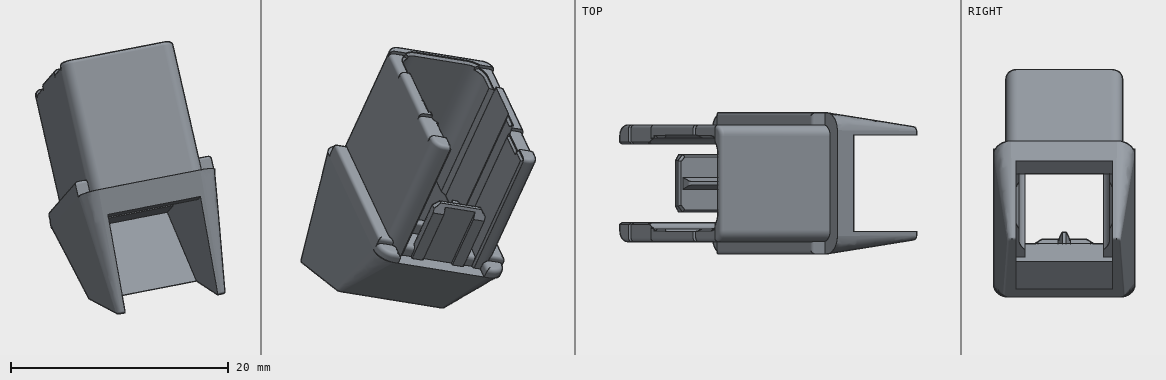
import cadquery as cq
import math

TILT = 37.2
COS = math.cos(math.radians(TILT))
SIN = math.sin(math.radians(TILT))

OVERLAP = 0.27
PICK_MARGIN = 0.03

sleeve_half_width = 5.38
sleeve_bottom = 6.75
sleeve_top = 22.43
sleeve_corner = 1.05
mouth = -5.02
rim_lip = 0.3
rim_raised_bands = ((sleeve_bottom, 8.32), (11.73, 18.15), (21.45, sleeve_top))
rim_rounding = 0.38

ceiling = 21.67
upper_half_width = 4.18
lower_half_width = 3.6
shoulder_top = 12.17
shoulder_bottom = 11.0
shoulder_bulge = 0.4
shoulder_rise = 0.5
ceiling_corner = 1.5
foot_bevel = 0.2
flare = 0.22
flare_depth = 0.33
recess_half_width = 4.45
recess_bottom = 13.43
recess_top = 18.75
recess_slope = 0.6

flange_front = 5.79
hood_start = 7.23
flange_half_width = 6.5
flange_band_top = 21.67
flange_lip_front = 6.33
flange_lip_top = 6.95
flange_notch_half_width = 4.45
flange_corner = 1.42
lip_corner_rounding = 0.4
flange_rounding = 0.33
hood_top = 23.52
hood_corner = 1.65
hood_bottom = hood_start * SIN / COS

end_heel_x = 19.05
end_tip_x = 27.37
end_tip_z = 5.35
end_heel_half_width = 5.6
end_tip_half_width = 5.19
end_corner = 0.4
end_rounding = 0.2
hood_cavity_half_width = 4.42
hood_cavity_reach = 2.73
hood_floor = 0.75
roof_bend = 7.75
roof_edge = 9.58
roof_edge_height = 21.5

tongue_front = 1.05
tongue_half_width = 2.65
tongue_bottom = 6.65
tongue_top = 7.67
tongue_nose_chamfer = 0.55
tongue_edge_chamfer = 0.22
groove_half_width = 1.53
groove_depth = 0.3
nose_bevel_length = 0.93
nose_bevel_height = 0.45
rib_front = 1.45
rib_top = 8.73
rib_base_half_width = 0.65
rib_top_half_width = 0.16
rib_nose_radius = 0.27

wall_front = 6.2
wall_back = 7.91
wall_step = 9.3
wall_top = 10.15
wall_lip = 1.12
wall_foot_radius = 0.4
lip_rounding = 0.22


def block(x0, x1, half_width, z0, z1):
    """Box centred on the XZ plane."""
    plane = cq.Workplane("XY", origin=(x0, 0, z0))
    return plane.box(x1 - x0, 2 * half_width, z1 - z0, centered=(False, True, False))


def level(x, z):
    """Point of the level frame for a point of the tilted part."""
    return (x * COS - z * SIN, x * SIN + z * COS)


def slab(points, half_width):
    """Side profile in XZ, extruded equally to both sides."""
    return cq.Workplane("XZ").polyline(points).close().extrude(half_width, both=True)


def rounded_section(low, high, low_half, high_half, radius):
    """Rounded four-sided wire spanning two (x, z) points, with its own width at each."""
    corners = [
        cq.Vector(low[0], -low_half, low[1]),
        cq.Vector(low[0], low_half, low[1]),
        cq.Vector(high[0], high_half, high[1]),
        cq.Vector(high[0], -high_half, high[1]),
    ]
    face = cq.Face.makeFromWires(cq.Wire.makePolygon(corners, close=True))
    return face.fillet2D(radius, face.Vertices()).outerWire()


def mouth_flare(front):
    """Bevels between the rim and the upper and lower parts of the cavity."""
    upper = block(front, front + flare_depth, upper_half_width + flare, shoulder_top, ceiling + flare)
    upper = upper.edges("|X and >Z").fillet(ceiling_corner + flare)
    upper = upper.faces(">X").edges().chamfer(flare)
    foot_half_width = lower_half_width + foot_bevel
    lower = block(front, front + flare_depth, foot_half_width, sleeve_bottom - OVERLAP, shoulder_bottom)
    return upper.union(lower.edges("|Z and >X").chamfer(foot_bevel))


def sleeve_blank(front):
    """Hollow sleeve with a plain rounded rim at the given x."""
    blank = block(front, hood_start, sleeve_half_width, sleeve_bottom, sleeve_top)
    blank = blank.edges("|X").fillet(sleeve_corner).faces("<X").edges().fillet(rim_rounding)
    return blank.cut(sleeve_cavity()).cut(mouth_flare(front))


def sleeve():
    """Sleeve whose rim stands out further over some height bands."""
    raised = sleeve_blank(mouth - rim_lip)
    shell = sleeve_blank(mouth)
    for z0, z1 in rim_raised_bands:
        band = block(mouth - rim_lip, hood_start, sleeve_half_width, z0, z1)
        shell = shell.union(raised.intersect(band))
    return shell


def sleeve_cavity():
    """Space inside the sleeve: half a cross-section with its side recess, mirrored."""
    x0 = mouth - rim_lip - OVERLAP
    corner_start = ceiling - ceiling_corner
    corner_inset = ceiling_corner * (1 - math.sqrt(0.5))
    half = (
        cq.Workplane("YZ", origin=(x0, 0, 0))
        .moveTo(0, sleeve_bottom - OVERLAP)
        .lineTo(lower_half_width + foot_bevel, sleeve_bottom - OVERLAP)
        .lineTo(lower_half_width + foot_bevel, sleeve_bottom)
        .lineTo(lower_half_width, sleeve_bottom + foot_bevel)
        .lineTo(lower_half_width, shoulder_bottom)
        .threePointArc(
            (lower_half_width + shoulder_bulge, shoulder_bottom + shoulder_rise),
            (upper_half_width, shoulder_top),
        )
        .lineTo(upper_half_width, corner_start)
        .threePointArc(
            (upper_half_width - corner_inset, ceiling - corner_inset),
            (upper_half_width - ceiling_corner, ceiling),
        )
        .lineTo(0, ceiling)
        .close()
        .extrude(roof_bend - x0)
    )
    recess = (
        cq.Workplane("YZ", origin=(x0, 0, 0))
        .polyline(
            [
                (0, recess_bottom),
                (upper_half_width, recess_bottom),
                (recess_half_width, recess_bottom + recess_slope),
                (recess_half_width, recess_top - recess_slope),
                (upper_half_width, recess_top),
                (0, recess_top),
            ]
        )
        .close()
        .extrude(hood_start - x0)
    )
    half = half.union(recess)
    return half.union(half.mirror("XZ"))


def flange_bands():
    """Two side bands that wrap round the bottom corners and leave the middle open."""
    bands = slab(
        [
            (flange_lip_front, hood_bottom),
            (hood_start, hood_bottom),
            (hood_start, flange_band_top),
            (flange_front, flange_band_top),
            (flange_front, flange_lip_top),
            (flange_lip_front, flange_lip_top),
        ],
        flange_half_width,
    )
    bands = bands.edges("|X and <Z").fillet(flange_corner)
    notch = block(flange_front - OVERLAP, hood_start, flange_notch_half_width, 0, hood_top)
    bands = bands.faces("<X").edges().fillet(flange_rounding).cut(notch)
    lip_corners = cq.selectors.BoxSelector(
        (flange_lip_front - PICK_MARGIN, -flange_half_width, hood_bottom - PICK_MARGIN),
        (flange_lip_front + PICK_MARGIN, flange_half_width, flange_lip_top - PICK_MARGIN),
    )
    return bands.edges(lip_corners).fillet(lip_corner_rounding)


def hood_shell():
    """Solid hood, tapering from a rounded rectangle to its slanted open end."""
    start = rounded_section(
        (hood_start, hood_bottom), (hood_start, hood_top), flange_half_width, flange_half_width, hood_corner
    )
    end = rounded_section(
        level(end_heel_x, 0), level(end_tip_x, end_tip_z), end_heel_half_width, end_tip_half_width, end_corner
    )
    return cq.Workplane(cq.Solid.makeLoft([start, end], True)).faces(">X").edges().fillet(end_rounding)


def hood_cavity():
    """Side profile of the hood space: closed by the roof at first, then open above."""
    far = end_tip_x + hood_cavity_reach
    floor_start = (wall_back, (hood_floor + wall_back * SIN) / COS)
    return slab(
        [
            floor_start,
            (wall_back, wall_top),
            (hood_start, wall_top),
            (hood_start, ceiling),
            (roof_bend, ceiling),
            (roof_edge, roof_edge_height),
            (roof_edge, hood_top + OVERLAP),
            (far, hood_top + OVERLAP),
            level(far, hood_floor),
        ],
        hood_cavity_half_width,
    )


def tongue():
    """Tongue along the bottom of the mouth, grooved underneath, with a rib on top."""
    body = block(tongue_front, wall_back, tongue_half_width, tongue_bottom, tongue_top)
    body = body.edges("|Z and <X").chamfer(tongue_nose_chamfer)
    body = body.faces(">Z").edges("not >X").chamfer(tongue_edge_chamfer)
    bevel = slab(
        [
            (tongue_front, tongue_bottom),
            (tongue_front + nose_bevel_length, tongue_bottom),
            (tongue_front, tongue_bottom + nose_bevel_height),
        ],
        tongue_half_width,
    )
    groove = block(tongue_front, hood_start, groove_half_width, tongue_bottom, tongue_bottom + groove_depth)
    rib = (
        cq.Workplane("YZ", origin=(rib_front, 0, 0))
        .polyline(
            [
                (-rib_base_half_width, tongue_top - OVERLAP),
                (rib_base_half_width, tongue_top - OVERLAP),
                (rib_top_half_width, rib_top),
                (-rib_top_half_width, rib_top),
            ]
        )
        .close()
        .extrude(wall_back - rib_front)
        .faces(">Z")
        .edges("<X")
        .fillet(rib_nose_radius)
    )
    return body.cut(bevel).cut(groove).union(rib)


def cross_wall():
    """Wall behind the tongue, with a lip reaching forward at its top."""
    post = block(wall_front, wall_back, upper_half_width, tongue_bottom + groove_depth, wall_top)
    lip = block(wall_front - wall_lip, wall_back, lower_half_width, wall_step, wall_top)
    post = post.edges("|Y and <X and <Z").fillet(wall_foot_radius)
    return post.union(lip.edges("|Y and <X").fillet(lip_rounding))


body = sleeve().union(flange_bands()).union(hood_shell())
body = body.cut(hood_cavity())
body = body.union(tongue()).union(cross_wall())
result = body.rotate((0, 0, 0), (0, 1, 0), TILT)